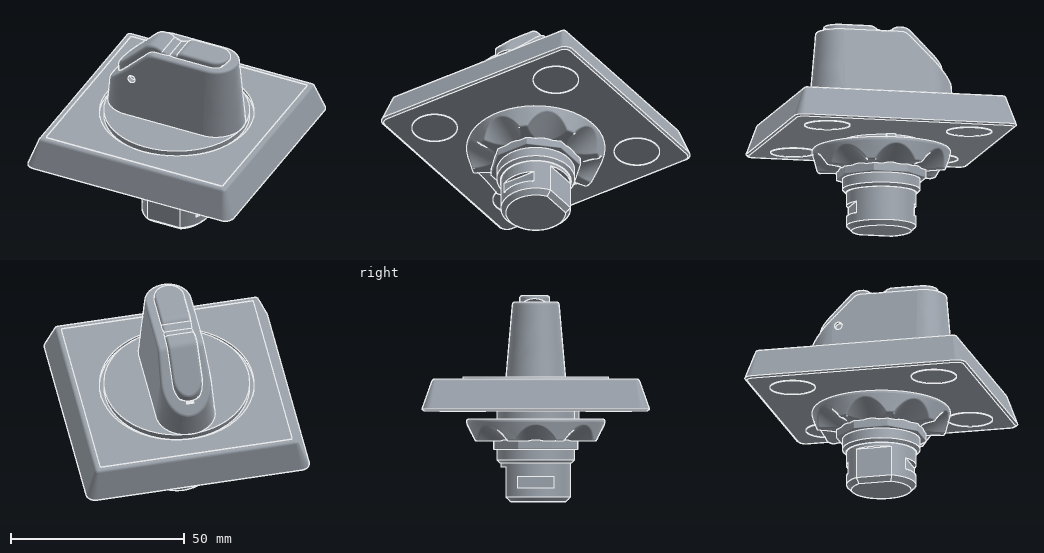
import cadquery as cq
import math


plate_side = 65.5
plate_corner_radius = 2.75
plate_top_side = 59.35
plate_top_corner_radius = 0.85
plate_top_z = 9.25
plate_top_fillet = 1.05
lip_height = 0.5
lip_inset = 0.65
panel_side = 56.3
panel_corner_radius = 0.4
panel_depth = 0.1
seat_radius = 22.3
seat_depth = 1.3
pad_radius = 6.55
pad_spacing = 41.9
pad_height = 0.2

neck_radius = 11.2
neck_bottom_z = -15.0
neck_chamfer = 1.0
key_reach = 12.45
key_width = 2.6

nut_top_z = -2.2
nut_flange_bottom_z = -8.65
nut_bottom_z = -11.1
nut_radius = 19.9
nut_rim_fillet = 0.8
nut_widest_z = -3.3
nut_flange_bottom_radius = 18.5
nut_flange_fillet = 0.65
octagon_flats = 24.2
octagon_sides = 8
octagon_edge_fillet = 0.25
scallop_count = 8
scallop_radius = 7.45
scallop_tilt = 28.5
scallop_peak_z = -4.25
scallop_peak_radius = 19.45
scallop_edge_fillet = 0.5

disc_radius = 20.95
disc_top_z = 9.8
grip_end_center = 12.5
grip_end_radius = 8.6
grip_top_z = 31.4
grip_taper = 5.0
slope_angle = 45.0
slope_foot_x = -20.3
slope_foot_z = 16.9
ridge_radius = 3.3
grip_edge_fillet = 0.9
pin_hole_x = -10.8
pin_hole_z = 21.9
pin_hole_radius = 1.1
pin_hole_floor_y = -5.9
notch_size = 0.4
notch_width = 2.1
notch_z = 19.45

shaft_radius = 10.0
shaft_bottom_z = -26.15
shaft_chamfer = 1.45
shaft_flat = 8.6
side_flat_top_z = -16.1
slot_top_z = -18.8
slot_bottom_z = -22.1

latch_top_z = 33.2
latch_radius = 4.3
latch_offset_y = -0.3
latch_left_x = -17.9
latch_right_x = 16.9
latch_bottom_z = 20.4
latch_slope_foot_z = 22.15
latch_edge_fillet = 0.85
hump_radius = 3.8
valley_x = -0.1
valley_depth = 1.65
crest_half_span = 4.45
knee_half_span = 2.2
knee_depth = 0.9
undercut_z = 32.3
undercut_length = 1.25


def cylinder(radius, bottom_z, top_z):
    return cq.Workplane("XY").workplane(offset=bottom_z).circle(radius).extrude(top_z - bottom_z)


def rounded_square(side, corner_radius):
    return cq.Sketch().rect(side, side).vertices().fillet(corner_radius)


def loft_squares(low_z, low_square, high_z, high_square):
    low = low_square.moved(cq.Location((0, 0, low_z)))
    high = high_square.moved(cq.Location((0, 0, high_z)))
    return cq.Workplane("XY").placeSketch(low, high).loft()


def make_plate():
    widest = rounded_square(plate_side, plate_corner_radius)
    underside = rounded_square(plate_side - 2 * lip_inset, plate_corner_radius - lip_inset)
    top = rounded_square(plate_top_side, plate_top_corner_radius)
    body = loft_squares(lip_height, widest, plate_top_z, top)
    body = body.faces(">Z").edges().fillet(plate_top_fillet)
    body = body.union(loft_squares(0, underside, lip_height, widest))

    panel = (
        cq.Workplane("XY")
        .workplane(offset=plate_top_z - panel_depth)
        .placeSketch(rounded_square(panel_side, panel_corner_radius))
        .extrude(panel_depth)
    )
    body = body.cut(panel).cut(cylinder(seat_radius, plate_top_z - seat_depth, plate_top_z))

    pads = (
        cq.Workplane("XY")
        .rect(pad_spacing, pad_spacing, forConstruction=True)
        .vertices()
        .circle(pad_radius)
        .extrude(-pad_height)
    )
    neck = cylinder(neck_radius, neck_bottom_z, 0).faces("<Z").edges().chamfer(neck_chamfer)
    key = (
        cq.Workplane("XY")
        .rect(key_width, key_reach)
        .extrude(nut_top_z)
        .translate((0, key_reach / 2, 0))
    )
    body = body.union(pads).union(neck).union(key)
    return body.cut(cylinder(shaft_radius, neck_bottom_z, plate_top_z))


def make_nut():
    flange = (
        cq.Workplane("XZ")
        .moveTo(0, nut_top_z)
        .lineTo(nut_radius - nut_rim_fillet, nut_top_z)
        .tangentArcPoint((nut_rim_fillet, -nut_rim_fillet))
        .lineTo(nut_radius, nut_widest_z)
        .lineTo(nut_flange_bottom_radius, nut_flange_bottom_z)
        .lineTo(0, nut_flange_bottom_z)
        .close()
        .revolve(360, (0, 0, 0), (0, 1, 0))
    )
    flange = flange.faces("<Z").edges().fillet(nut_flange_fillet)

    tilt = math.radians(scallop_tilt)
    outward = cq.Vector(math.cos(tilt), 0, math.sin(tilt))
    up = cq.Vector(-math.sin(tilt), 0, math.cos(tilt))
    peak = cq.Vector(scallop_peak_radius, 0, scallop_peak_z)
    start = peak - up * scallop_radius - outward * nut_radius
    cutter = cq.Workplane(cq.Solid.makeCylinder(scallop_radius, 2 * nut_radius, start, outward))
    for i in range(scallop_count):
        flange = flange.cut(cutter.rotate((0, 0, 0), (0, 0, 1), i * 360 / scallop_count))

    flange = flange.edges("not %CIRCLE").fillet(scallop_edge_fillet)

    octagon_diameter = octagon_flats / math.cos(math.pi / octagon_sides)
    octagon = (
        cq.Workplane("XY")
        .workplane(offset=nut_bottom_z)
        .polygon(octagon_sides, octagon_diameter)
        .extrude(nut_top_z - nut_rim_fillet - nut_bottom_z)
        .rotate((0, 0, 0), (0, 0, 1), 180 / octagon_sides)
        .edges("|Z or <Z")
        .fillet(octagon_edge_fillet)
    )
    return flange.union(octagon).cut(cylinder(neck_radius, nut_bottom_z, nut_top_z))


def make_shaft():
    shaft = cylinder(shaft_radius, shaft_bottom_z, plate_top_z - seat_depth)
    shaft = shaft.faces("<Z").edges().chamfer(shaft_chamfer)
    side_flat = (
        cq.Workplane("YZ")
        .moveTo(-shaft_radius, side_flat_top_z)
        .lineTo(-shaft_flat, side_flat_top_z)
        .lineTo(-shaft_flat, shaft_bottom_z + shaft_chamfer)
        .lineTo(-shaft_flat + shaft_chamfer, shaft_bottom_z)
        .lineTo(-shaft_radius, shaft_bottom_z)
        .close()
        .extrude(shaft_radius, both=True)
    )
    shaft = shaft.cut(side_flat)
    slot = cq.Workplane("XY").box(
        shaft_radius, 2 * shaft_radius, slot_top_z - slot_bottom_z, centered=(False, True, False)
    )
    for x in (shaft_flat, -shaft_flat - shaft_radius):
        shaft = shaft.cut(slot.translate((x, 0, slot_bottom_z)))
    return shaft


def slope_x(foot_x, foot_z, z):
    """X of a slope at height z, for a slope that starts at its foot."""
    return foot_x + (z - foot_z) / math.tan(math.radians(slope_angle))


def make_grip():
    """Tapered long round block with a sloping front and rounded top edges."""
    block = (
        cq.Workplane("XY")
        .workplane(offset=disc_top_z)
        .slot2D(2 * (grip_end_center + grip_end_radius), 2 * grip_end_radius)
        .extrude(grip_top_z - disc_top_z, taper=grip_taper)
    )
    ridge_x = slope_x(slope_foot_x, slope_foot_z, grip_top_z)
    side_profile = (
        cq.Workplane("XZ")
        .moveTo(ridge_x, grip_top_z)
        .lineTo(plate_side, grip_top_z)
        .lineTo(plate_side, 0)
        .lineTo(slope_x(slope_foot_x, slope_foot_z, 0), 0)
        .close()
        .extrude(2 * grip_end_radius, both=True)
        .edges(cq.NearestToPointSelector((ridge_x, 0, grip_top_z)))
        .fillet(ridge_radius)
    )
    block = block.intersect(side_profile)
    edge_half_width = grip_end_radius - (grip_top_z - disc_top_z) * math.tan(math.radians(grip_taper))
    start_edge = cq.NearestToPointSelector((grip_end_center / 2, edge_half_width, grip_top_z))
    return block.edges(start_edge).fillet(grip_edge_fillet)


def make_handle(grip):
    disc = cylinder(disc_radius, plate_top_z - seat_depth, disc_top_z)
    pin_hole = (
        cq.Workplane("XZ", origin=(pin_hole_x, pin_hole_floor_y, pin_hole_z))
        .circle(pin_hole_radius)
        .extrude(grip_end_radius)
    )
    notch_x = slope_x(slope_foot_x, slope_foot_z, notch_z)
    notch = cq.Workplane("XY").box(notch_size, notch_width, notch_size)
    notch = notch.translate((notch_x, latch_offset_y, notch_z))
    return grip.cut(pin_hole).cut(notch).union(disc).union(make_shaft())


def valley_side(side):
    """Half of the thumb valley, from its bottom up to the crest: side is -1 for front, 1 for rear."""
    crest_x = valley_x + side * crest_half_span
    knee_x = valley_x + side * knee_half_span
    run = crest_half_span - knee_half_span
    crest_radius = (run**2 + knee_depth**2) / (2 * knee_depth)
    half_angle = math.atan2(knee_depth, run)
    arc_middle = (
        crest_x - side * crest_radius * math.sin(half_angle),
        latch_top_z - crest_radius * (1 - math.cos(half_angle)),
    )
    return (
        cq.Workplane("XZ")
        .moveTo(valley_x, 0)
        .lineTo(valley_x, latch_top_z - valley_depth)
        .lineTo(knee_x, latch_top_z - knee_depth)
        .threePointArc(arc_middle, (crest_x, latch_top_z))
    )


def front_latch_outline():
    """Valley, rounded hump and slope."""
    angle = math.radians(slope_angle)
    ridge_x = slope_x(latch_left_x, latch_slope_foot_z, latch_top_z)
    tangent_length = hump_radius * math.tan(angle / 2)
    hump_start = (ridge_x + tangent_length, latch_top_z)
    hump_end = (ridge_x - tangent_length * math.cos(angle), latch_top_z - tangent_length * math.sin(angle))
    slope_end = (slope_x(latch_left_x, latch_slope_foot_z, 0), 0)
    return (
        valley_side(-1)
        .lineTo(*hump_start)
        .tangentArcPoint(hump_end, relative=False)
        .lineTo(*slope_end)
        .close()
    )


def rear_latch_outline():
    """Valley and flat rear."""
    return valley_side(1).lineTo(plate_side, latch_top_z).lineTo(plate_side, 0).close()


def make_latch(grip):
    """Long round slider resting on the slope and the top of the grip."""
    block = (
        cq.Workplane("XY")
        .workplane(offset=latch_bottom_z)
        .center((latch_left_x + latch_right_x) / 2, latch_offset_y)
        .slot2D(latch_right_x - latch_left_x, 2 * latch_radius)
        .extrude(latch_top_z - latch_bottom_z)
    )
    halves = []
    for outline in (front_latch_outline(), rear_latch_outline()):
        half = block.intersect(outline.extrude(2 * latch_radius, both=True))
        halves.append(half.edges("not (|Y or |Z or <Z)").fillet(latch_edge_fillet))
    front, rear = halves

    undercut = (
        cq.Workplane("XZ")
        .moveTo(latch_right_x, undercut_z)
        .lineTo(latch_right_x, grip_top_z)
        .lineTo(latch_right_x - undercut_length, grip_top_z)
        .close()
        .extrude(2 * latch_radius, both=True)
    )
    return front.union(rear).cut(undercut).cut(grip)


grip = make_grip()
plate = make_plate()
nut = make_nut()
handle = make_handle(grip)
latch = make_latch(grip)

result = cq.Compound.makeCompound([plate.val(), nut.val(), handle.val(), latch.val()])